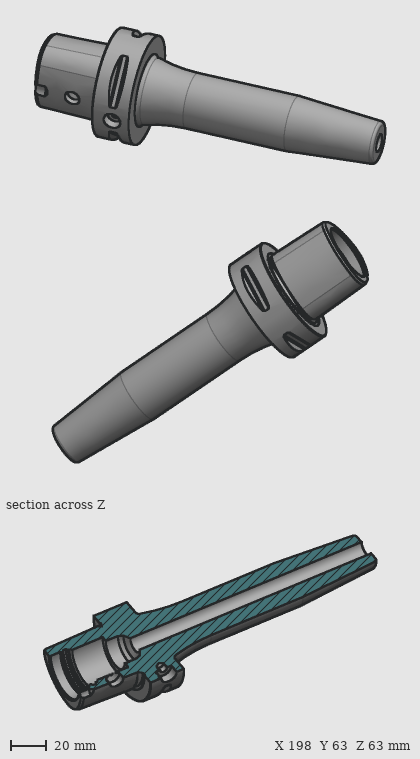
import cadquery as cq
import math

length = 198.0
shank_end = 36.0
flange_start = 38.0
flange_end = 60.0
flange_radius = 31.5
flange_chamfer = 0.4

lobe_offset = 10.3
lobe_angles = (0, 120, 240)
tip_lobe_radius = 12.0
shank_taper = 1 / 40
shank_chamfer = 1.5

neck_root_radius = 20.2
neck_radius = 22.4
neck_cone_length = 2.2
recess_depth = 0.5
recess_radius = 24.4

foot_radius = 21.0
foot_fillet = 3.0
flare_start = 62.5
flare_start_radius = 19.5
flare_end = 87.0
body_radius = 16.0
taper_start = 147.0
nose_radius = 12.3
nose_fillet = 2.0

bore_mouth_radius = 16.5
bore_radius = 15.8
bore_mouth_chamfer = 1.0
land_start = 7.1
land_radius = 15.0
groove_start = 8.7
groove_end = 11.0
groove_radius = 16.2
groove_flank = 0.8
inner_bore_start = 12.7
inner_bore_chamfer = 1.2
inner_bore_radius = 13.9
inner_bore_end = 33.7
pocket_radius = 10.3
pocket_end = 41.5
pocket_lip = 2.8
seat_radius = 9.0
through_radius = 5.1

drill_half_angle = 59.0
shank_hole_x = 22.5
shank_hole_radius = 4.4
shank_hole_floor = 15.8
flange_hole_radius = 5.0
flange_hole_depth = 6.0
flange_pilot_radius = 2.2
flange_pilot_depth = 4.0

notch_radius = 5.0
notch_axis_y = -22.8
notch_length = 6.0

slot_floor_distance = 27.7
slot_floor_width = 2.8
slot_shoulder_distance = 28.1
slot_shoulder_width = 4.4
slot_top_width = 7.5
slot_angles = (45, 135, 225, 315)

gripper_offset = 12.0
gripper_x = flange_start + gripper_offset


def polar(radius, degrees):
    """Point in the YZ plane, with the angle measured from +Y toward +Z."""
    angle = math.radians(degrees)
    return radius * math.cos(angle), radius * math.sin(angle)


def shifted(point, radius, degrees):
    """Point at a given distance and direction from another point."""
    step = polar(radius, degrees)
    return point[0] + step[0], point[1] + step[1]


def lobed_wire(x, lobe_radius):
    """Smooth constant-width trilobe made of three lobe arcs and three flank arcs."""
    flank_radius = lobe_radius + lobe_offset * math.sqrt(3)
    sketch = cq.Workplane("YZ", origin=(x, 0, 0))
    sketch = sketch.moveTo(*shifted(polar(lobe_offset, 0), lobe_radius, -30))
    for lobe_angle in lobe_angles:
        lobe_centre = polar(lobe_offset, lobe_angle)
        flank_angle = lobe_angle + 60
        flank_centre = polar(lobe_offset, flank_angle + 180)
        sketch = sketch.threePointArc(
            shifted(lobe_centre, lobe_radius, lobe_angle),
            shifted(lobe_centre, lobe_radius, lobe_angle + 30),
        ).threePointArc(
            shifted(flank_centre, flank_radius, flank_angle),
            shifted(flank_centre, flank_radius, flank_angle + 30),
        )
    return sketch.close().val()


def lobed_section(x_start, radius_start, x_end, radius_end):
    """Straight-sided length of shank between two lobe radii."""
    wires = [lobed_wire(x_start, radius_start), lobed_wire(x_end, radius_end)]
    return cq.Workplane(cq.Solid.makeLoft(wires, True))


def revolved(profile):
    """Turn a closed profile of (x, radius) around the X axis."""
    return profile.close().revolve(360, (0, 0, 0), (1, 0, 0))


def make_shank():
    chamfer_radius = tip_lobe_radius + shank_taper * shank_chamfer
    root_radius = tip_lobe_radius + shank_taper * shank_end
    end_radius = root_radius - shank_chamfer
    chamfer_start_radius = tip_lobe_radius - shank_chamfer / 2
    tip = lobed_section(0, chamfer_start_radius, shank_chamfer, chamfer_radius)
    main = lobed_section(shank_chamfer, chamfer_radius, shank_end, root_radius)
    end = lobed_section(shank_end, root_radius, flange_start, end_radius)
    return tip.union(main).union(end)


def make_turned_body():
    flare_drop = flare_start_radius - body_radius
    flare_length = flare_end - flare_start
    flare_radius = (flare_length**2 + flare_drop**2) / (2 * flare_drop)
    profile = (
        cq.Workplane("XY")
        .moveTo(shank_end, 0)
        .lineTo(shank_end, neck_root_radius)
        .lineTo(shank_end + neck_cone_length, neck_radius)
        .lineTo(flange_start + recess_depth, recess_radius)
        .lineTo(flange_start, recess_radius)
        .lineTo(flange_start, flange_radius - flange_chamfer)
        .lineTo(flange_start + flange_chamfer, flange_radius)
        .lineTo(flange_end, flange_radius)
        .lineTo(flange_end, foot_radius)
        .radiusArc((flare_start, flare_start_radius), -foot_fillet)
        .radiusArc((flare_end, body_radius), -flare_radius)
        .lineTo(taper_start, body_radius)
        .lineTo(length, nose_radius)
        .lineTo(length, 0)
    )
    return revolved(profile).faces(">X").edges().fillet(nose_fillet)


def make_bore():
    seat_start = pocket_end + pocket_lip
    seat_length = (seat_radius - through_radius) / math.tan(math.radians(drill_half_angle))
    points = [
        (0, 0),
        (0, bore_mouth_radius),
        (bore_mouth_chamfer, bore_radius),
        (land_start, bore_radius),
        (land_start + bore_radius - land_radius, land_radius),
        (groove_start, land_radius),
        (groove_start + groove_flank, groove_radius),
        (groove_end, groove_radius),
        (groove_end + groove_flank, land_radius),
        (inner_bore_start, land_radius),
        (inner_bore_start + inner_bore_chamfer, inner_bore_radius),
        (inner_bore_end, inner_bore_radius),
        (inner_bore_end, pocket_radius),
        (pocket_end, pocket_radius),
        (seat_start, seat_radius),
        (seat_start + seat_length, through_radius),
        (length, through_radius),
        (length, 0),
    ]
    return revolved(cq.Workplane("XY").polyline(points))


def make_radial_drill(x, radius, floor):
    """Drill entering from -Y; its full-diameter part stops at y = -floor, then a cone follows."""
    cone_length = radius / math.tan(math.radians(drill_half_angle))
    points = [
        (x, -flange_radius),
        (x + radius, -flange_radius),
        (x + radius, -floor),
        (x, cone_length - floor),
    ]
    profile = cq.Workplane("XY").polyline(points).close()
    return profile.revolve(360, (x, 0, 0), (x, 1, 0))


def make_flange_hole():
    floor = flange_radius - flange_hole_depth
    bore = cq.Workplane("XZ", origin=(gripper_x, -floor, 0)).circle(flange_hole_radius)
    bore = bore.extrude(flange_hole_depth)
    pilot = make_radial_drill(gripper_x, flange_pilot_radius, floor - flange_pilot_depth)
    return bore.union(pilot)


def make_key_notch():
    points = [
        (0, notch_axis_y),
        (0, notch_axis_y + notch_radius),
        (notch_length, notch_axis_y + notch_radius),
        (notch_length + notch_radius, notch_axis_y),
    ]
    profile = cq.Workplane("XY").polyline(points).close()
    return profile.revolve(360, (0, notch_axis_y, 0), (1, notch_axis_y, 0))


def make_gripper_slot(angle):
    half_floor = slot_floor_width / 2
    half_shoulder = slot_shoulder_width / 2
    half_top = slot_top_width / 2
    points = [
        (gripper_x - half_floor, slot_floor_distance),
        (gripper_x + half_floor, slot_floor_distance),
        (gripper_x + half_shoulder, slot_shoulder_distance),
        (gripper_x + half_top, flange_radius),
        (gripper_x - half_top, flange_radius),
        (gripper_x - half_shoulder, slot_shoulder_distance),
    ]
    cutter = cq.Workplane("XY").polyline(points).close().extrude(flange_radius, both=True)
    return cutter.rotate((0, 0, 0), (1, 0, 0), angle)


result = make_shank().union(make_turned_body())
result = result.cut(make_bore())
result = result.cut(make_radial_drill(shank_hole_x, shank_hole_radius, shank_hole_floor))
result = result.cut(make_flange_hole())
result = result.cut(make_key_notch())
for slot_angle in slot_angles:
    result = result.cut(make_gripper_slot(slot_angle))